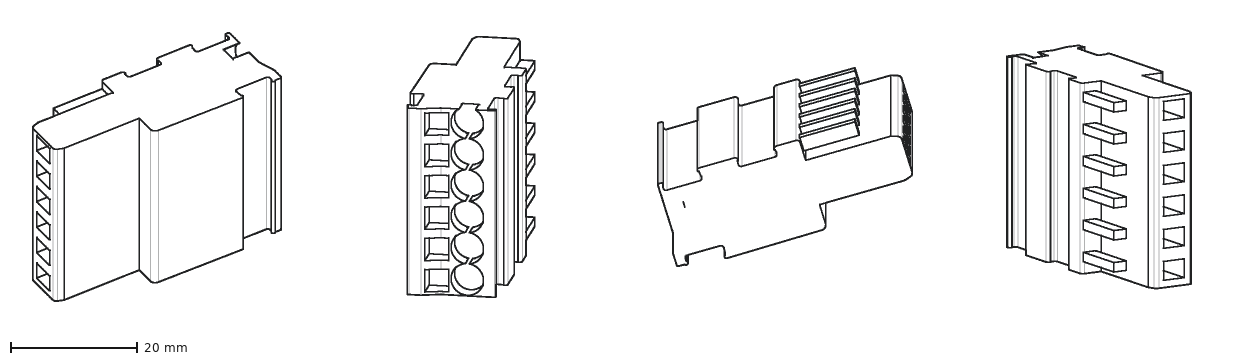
import cadquery as cq
import math

width = 15.7
length = 40.15
height = 30.9

pole_count = 6
pole_pitch = 5.2
first_pole_drop = 2.25
first_wire_drop = 2.6

tongue_left = 3.6
tongue_right = 11.33
tip_taper_inset = 0.52
tip_taper_length = 1.5
tip_radius = 0.7

shoulder_y = 15.6
right_side_draft = 0.2
shoulder_left_radius = 0.52
shoulder_right_radius = 0.9

groove_depth = 1.7
groove_low_y = 19.7
groove_high_y = 26.0
groove_root_radius = 0.4
groove_lip_radius = 0.55
groove_lip_width = 0.65

neck_left = 2.1
neck_right = 13.4
neck_low_y = 32.3
neck_root_fall = 0.15
neck_high_y = 38.52
neck_root_radius = 0.45

head_left = 0.7
head_right = 14.8
head_y = 39.2
ramp_start = 9.52
ramp_end = 12.55
head_left_radius = 0.2
ridge_radius = 0.3

lip_radius = 0.32
lip_height = 0.2
head_lip_overhang = 0.15

pin_left = 0.32
pin_width = 2.33
pin_thickness = 1.53
pin_length = 9.1

socket_left = 5.55
socket_width = 3.85
socket_height = 3.05
socket_depth = pin_length

actuator_x = 5.22
actuator_diameter = 5.22
opening_floor_y = 36.15
wire_entry_size = 3.7
wire_entry_right = 11.95


def pole_heights(first_drop):
    """Z of every pole, from the top one down."""
    return [height - first_drop - pole * pole_pitch for pole in range(pole_count)]


def lip(side_x, inward, base_y, outward, overhang=0.0):
    """Start, middle and end of a lip arc, from the side face round to the recess face.

    inward is the X direction into the part, outward the Y direction out of the material.
    """
    center_x = side_x + inward * (lip_radius - overhang)
    center_y = base_y - outward * (lip_radius - lip_height)
    start_angle = -math.acos((lip_radius - overhang) / lip_radius)
    end_angle = math.pi - math.asin((lip_radius - lip_height) / lip_radius)
    angles = (start_angle, (start_angle + end_angle) / 2, end_angle)
    return [
        (
            center_x - inward * lip_radius * math.cos(angle),
            center_y + outward * lip_radius * math.sin(angle),
        )
        for angle in angles
    ]


def groove_lip(base_y, outward):
    """Rounded corner of the left side up to the lip crest, then the lip's foot on the groove face."""
    crest_y = base_y + outward * lip_height
    bend = groove_lip_radius * (1 - math.sqrt(0.5))
    return [
        (0, crest_y - outward * groove_lip_radius),
        (bend, crest_y - outward * bend),
        (groove_lip_radius, crest_y),
        (groove_lip_width, base_y),
    ]


def housing():
    """Extruded housing outline, with its corners rounded."""
    shoulder_right = width - right_side_draft
    neck_root_y = neck_low_y - neck_root_fall

    right_block_lip = lip(width, -1, neck_low_y, 1)
    right_head_lip = lip(head_right, -1, neck_high_y, -1, head_lip_overhang)[::-1]
    left_head_lip = lip(head_left, 1, neck_high_y, -1)
    left_block_lip = lip(0, 1, neck_low_y, 1)[::-1]
    groove_high_lip = groove_lip(groove_high_y, -1)
    groove_low_lip = groove_lip(groove_low_y, 1)[::-1]

    outline = (
        cq.Workplane("XY")
        .moveTo(tongue_left + tip_taper_inset, 0)
        .lineTo(tongue_right - tip_taper_inset, 0)
        .lineTo(tongue_right, tip_taper_length)
        .lineTo(tongue_right, shoulder_y)
        .lineTo(shoulder_right, shoulder_y)
        .lineTo(*right_block_lip[0])
        .threePointArc(*right_block_lip[1:])
        .lineTo(neck_right, neck_root_y)
        .lineTo(neck_right, neck_high_y)
        .lineTo(*right_head_lip[0])
        .threePointArc(*right_head_lip[1:])
        .lineTo(head_right, length)
        .lineTo(ramp_end, length)
        .lineTo(ramp_start, head_y)
        .lineTo(head_left, head_y)
        .lineTo(*left_head_lip[0])
        .threePointArc(*left_head_lip[1:])
        .lineTo(neck_left, neck_high_y)
        .lineTo(neck_left, neck_root_y)
        .lineTo(*left_block_lip[0])
        .threePointArc(*left_block_lip[1:])
        .lineTo(*groove_high_lip[0])
        .threePointArc(*groove_high_lip[1:3])
        .lineTo(*groove_high_lip[3])
        .lineTo(groove_depth, groove_high_y)
        .lineTo(groove_depth, groove_low_y)
        .lineTo(*groove_low_lip[0])
        .lineTo(*groove_low_lip[1])
        .threePointArc(*groove_low_lip[2:])
        .lineTo(0, shoulder_y)
        .lineTo(tongue_left, shoulder_y)
        .lineTo(tongue_left, tip_taper_length)
        .close()
    )
    body = outline.extrude(height)

    corner_radii = [
        (tongue_left + tip_taper_inset, 0, tip_radius),
        (tongue_right - tip_taper_inset, 0, tip_radius),
        (0, shoulder_y, shoulder_left_radius),
        (shoulder_right, shoulder_y, shoulder_right_radius),
        (groove_depth, groove_low_y, groove_root_radius),
        (groove_depth, groove_high_y, groove_root_radius),
        (neck_left, neck_root_y, neck_root_radius),
        (neck_right, neck_root_y, neck_root_radius),
        (neck_left, neck_high_y, neck_root_radius),
        (neck_right, neck_high_y, neck_root_radius),
        (head_left, head_y, head_left_radius),
        (head_right, length, ridge_radius),
    ]
    for x, y, radius in corner_radii:
        corner = cq.NearestToPointSelector((x, y, height / 2))
        body = body.edges("|Z").edges(corner).fillet(radius)
    return body


def block(x, y, middle_z, size_x, size_y, size_z):
    """Box from a low X and Y corner, centred on middle_z."""
    corner = (x, y, middle_z - size_z / 2)
    return cq.Workplane("XY").box(size_x, size_y, size_z, centered=False).translate(corner)


def coding_pin(z):
    root_y = shoulder_y + shoulder_left_radius
    return block(
        pin_left, shoulder_y - pin_length, z,
        pin_width, root_y - shoulder_y + pin_length, pin_thickness,
    )


def contact_socket(z):
    return block(socket_left, 0, z, socket_width, socket_depth, socket_height)


def actuator_opening(z):
    rim = cq.Workplane("XZ", origin=(actuator_x, length, z)).circle(actuator_diameter / 2)
    return rim.extrude(length - opening_floor_y)


def wire_entry(z):
    return block(
        wire_entry_right - wire_entry_size, opening_floor_y, z,
        wire_entry_size, length - opening_floor_y, wire_entry_size,
    )


result = housing()
for pole_z in pole_heights(first_pole_drop):
    result = result.union(coding_pin(pole_z))
    result = result.cut(contact_socket(pole_z))
    result = result.cut(actuator_opening(pole_z))
for entry_z in pole_heights(first_wire_drop):
    result = result.cut(wire_entry(entry_z))